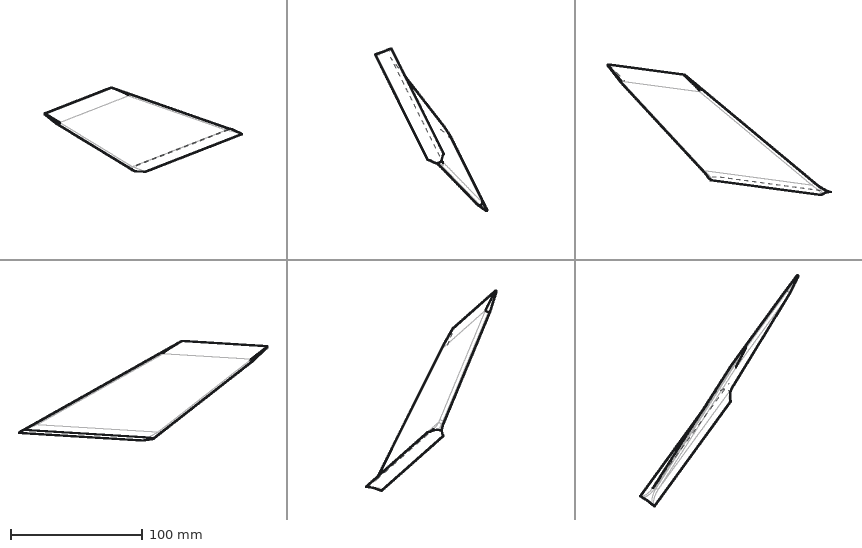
import cadquery as cq
import math

fin_height = 77.91
fin_length = 197.29
half_plate = 2.0

half_root = 6.7
lip = 0.06
flare_top_z = 5.6
tube_radius = 38.1
tube_axis_z = -math.sqrt(tube_radius**2 - half_root**2)
flare_run = half_root - half_plate
flare_radius = (flare_run**2 + (flare_top_z - lip) ** 2) / (2 * flare_run)

leading_sweep = 1.228
trailing_sweep = 1.66
trailing_fillet = 1.6
trailing_overhang = 0.7
nose_sliver = 0.1
nose_fillet = half_plate - nose_sliver / 2

taper_start_z = 66.6
tip_radius = 0.6
tip_axis_z = fin_height - tip_radius
taper_rise = tip_axis_z - taper_start_z
taper_lean = math.atan2(half_plate, taper_rise) - math.asin(tip_radius / math.hypot(half_plate, taper_rise))
half_tip = tip_radius * math.cos(taper_lean)
taper_end_z = tip_axis_z + tip_radius * math.sin(taper_lean)

margin = 10.0
root_stock = 1.0
top_stock_z = fin_height + margin
tolerance = 0.01


def nose_axis_y(z):
    """Y of the straight line that the tapered nose is rounded about."""
    return tip_radius + leading_sweep * (tip_axis_z - z)


def leading_y(z):
    """Y of the foremost line of the leading edge below the taper."""
    return nose_axis_y(z) - half_plate * math.hypot(1, leading_sweep)


def trailing_y(z):
    """Y of the blunt trailing face."""
    return fin_length + trailing_overhang - trailing_sweep * z


def side_prism(points):
    """Prism across the thickness from an outline of (y, z) points."""
    return cq.Workplane("YZ").polyline(points).close().extrude(margin, both=True)


def along_chord(outline):
    """Extrude a closed XZ outline past both ends of the fin."""
    length = fin_length + 4 * margin
    return outline.extrude(-length).translate((0, -2 * margin, 0))


def side_edges(body, face_y):
    """Edges down both sides of a swept end face, above the root lip."""
    found = []
    for edge in body.edges().vals():
        middle = edge.positionAt(0.5)
        on_face = abs(middle.y - face_y(middle.z)) < tolerance
        on_side = abs(middle.x) > half_plate - tolerance
        if on_face and on_side and lip < middle.z < fin_height:
            found.append(edge)
    return body.newObject(found)


def swept_blade():
    """Flared blade of full thickness with rounded edges, taller than the fin."""
    outline = (
        cq.Workplane("XZ")
        .moveTo(-half_plate, top_stock_z)
        .lineTo(half_plate, top_stock_z)
        .lineTo(half_plate, flare_top_z)
        .radiusArc((half_root, lip), -flare_radius)
        .lineTo(half_root, -root_stock)
        .lineTo(-half_root, -root_stock)
        .lineTo(-half_root, lip)
        .radiusArc((-half_plate, flare_top_z), -flare_radius)
        .close()
    )
    low = -margin
    high = top_stock_z + margin
    swept_sides = [
        (leading_y(low), low),
        (trailing_y(low), low),
        (trailing_y(high), high),
        (leading_y(high), high),
    ]
    body = along_chord(outline).intersect(side_prism(swept_sides))
    body = side_edges(body, leading_y).fillet(nose_fillet)
    body = side_edges(body, trailing_y).fillet(trailing_fillet)
    tube = along_chord(cq.Workplane("XZ").center(0, tube_axis_z).circle(tube_radius))
    return body.cut(tube)


def full_thickness_part(body):
    """Blade below the taper; the nose is cut square to its own axis."""
    joint_y = nose_axis_y(taper_start_z)
    region = [
        (fin_length, -margin),
        (fin_length, taper_start_z),
        (joint_y, taper_start_z),
        (joint_y - margin, taper_start_z - leading_sweep * margin),
        (joint_y - margin, -margin),
    ]
    return body.intersect(side_prism(region))


def tapered_part(body):
    """Thinning tip behind the nose axis, with a round top edge."""
    outline = (
        cq.Workplane("XZ")
        .moveTo(-half_plate, taper_start_z)
        .lineTo(half_plate, taper_start_z)
        .lineTo(half_tip, taper_end_z)
        .threePointArc((0, fin_height), (-half_tip, taper_end_z))
        .close()
    )
    behind_axis = [
        (nose_axis_y(taper_start_z), taper_start_z),
        (fin_length, taper_start_z),
        (fin_length, top_stock_z),
        (nose_axis_y(tip_axis_z), top_stock_z),
        (nose_axis_y(tip_axis_z), tip_axis_z),
    ]
    return body.intersect(along_chord(outline)).intersect(side_prism(behind_axis))


def tapered_nose():
    """Front half of a cone about the nose axis, ending in a ball at the tip corner."""
    base = cq.Vector(0, nose_axis_y(taper_start_z), taper_start_z)
    tip = cq.Vector(0, nose_axis_y(tip_axis_z), tip_axis_z)
    axis = tip - base
    cone = cq.Solid.makeCone(half_plate, tip_radius, axis.Length, base, axis)
    in_front = [
        (base.y, base.z),
        (tip.y, tip.z),
        (tip.y - margin, tip.z),
        (base.y - margin, base.z - leading_sweep * margin),
    ]
    ball = cq.Workplane("XY").sphere(tip_radius).translate(tip)
    return cq.Workplane(cone).intersect(side_prism(in_front)).union(ball)


blade = swept_blade()
result = full_thickness_part(blade).union(tapered_part(blade)).union(tapered_nose())